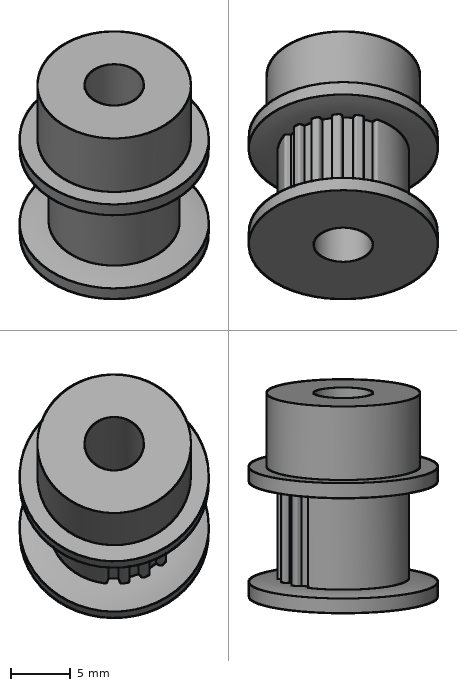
import cadquery as cq
import math

TOTAL_HEIGHT = 17.5
FLANGE_RADIUS = 8.0
FLANGE_HEIGHT = 1.6
FLANGE_CROWN = 0.32
BARREL_RADIUS = 5.56
BARREL_HEIGHT = 8.0
HUB_RADIUS = 6.5
BORE_RADIUS = 2.5

TEETH_PER_TURN = 18
GROOVE_COUNT = 5
GROOVE_DEPTH = 0.5
GROOVE_FLOOR_WIDTH = 0.84
GROOVE_WALL_ANGLE = 20.0
GROOVE_EDGE_FILLET = 0.23

barrel_bottom = FLANGE_HEIGHT
barrel_top = barrel_bottom + BARREL_HEIGHT
upper_flange_top = barrel_top + FLANGE_HEIGHT
groove_pitch = 360.0 / TEETH_PER_TURN


def flange():
    """Disc with a flat underside at Z = 0 and a crowned top, level where it meets the barrel."""
    rim_top = FLANGE_HEIGHT - FLANGE_CROWN
    crown_run = FLANGE_RADIUS - BARREL_RADIUS
    crown_radius = (crown_run**2 + FLANGE_CROWN**2) / (2 * FLANGE_CROWN)
    half_angle = math.asin(crown_run / crown_radius) / 2
    crown_middle = (
        BARREL_RADIUS + crown_radius * math.sin(half_angle),
        FLANGE_HEIGHT - crown_radius * (1 - math.cos(half_angle)),
    )
    profile = (
        cq.Workplane("XZ")
        .lineTo(FLANGE_RADIUS, 0)
        .lineTo(FLANGE_RADIUS, rim_top)
        .threePointArc(crown_middle, (BARREL_RADIUS, FLANGE_HEIGHT))
        .lineTo(0, FLANGE_HEIGHT)
        .close()
    )
    return profile.revolve(360, (0, 0), (0, 1))


def groove_cutter(angle):
    """Trapezoidal prism opening outward, turned by angle from +Y about Z."""
    floor_y = BARREL_RADIUS - GROOVE_DEPTH
    mouth_y = BARREL_RADIUS + GROOVE_DEPTH
    floor_half = GROOVE_FLOOR_WIDTH / 2
    wall_spread = (mouth_y - floor_y) * math.tan(math.radians(GROOVE_WALL_ANGLE))
    mouth_half = floor_half + wall_spread
    section = [
        (-floor_half, floor_y),
        (floor_half, floor_y),
        (mouth_half, mouth_y),
        (-mouth_half, mouth_y),
    ]
    cutter = cq.Workplane("XY").polyline(section).close().extrude(BARREL_HEIGHT)
    return cutter.rotate((0, 0, 0), (0, 0, 1), angle)


def toothed_barrel():
    """Belt cylinder with rounded-edge grooves centred on +Y."""
    barrel = cq.Workplane("XY").circle(BARREL_RADIUS).extrude(BARREL_HEIGHT)
    first_angle = -groove_pitch * (GROOVE_COUNT - 1) / 2
    for index in range(GROOVE_COUNT):
        barrel = barrel.cut(groove_cutter(first_angle + index * groove_pitch))
    floor_limit = BARREL_RADIUS - GROOVE_DEPTH / 2
    mouth_edges = barrel.edges("|Z").filter(
        lambda edge: edge.Center().y > BARREL_RADIUS / 10
        and math.hypot(edge.Center().x, edge.Center().y) > floor_limit
    )
    return mouth_edges.fillet(GROOVE_EDGE_FILLET)


lower_flange = flange()
upper_flange = flange().mirror("XY").translate((0, 0, upper_flange_top))
barrel = toothed_barrel().translate((0, 0, barrel_bottom))
hub = (
    cq.Workplane("XY", origin=(0, 0, upper_flange_top))
    .circle(HUB_RADIUS)
    .extrude(TOTAL_HEIGHT - upper_flange_top)
)
bore = cq.Workplane("XY").circle(BORE_RADIUS).extrude(TOTAL_HEIGHT)

result = lower_flange.union(barrel).union(upper_flange).union(hub).cut(bore)